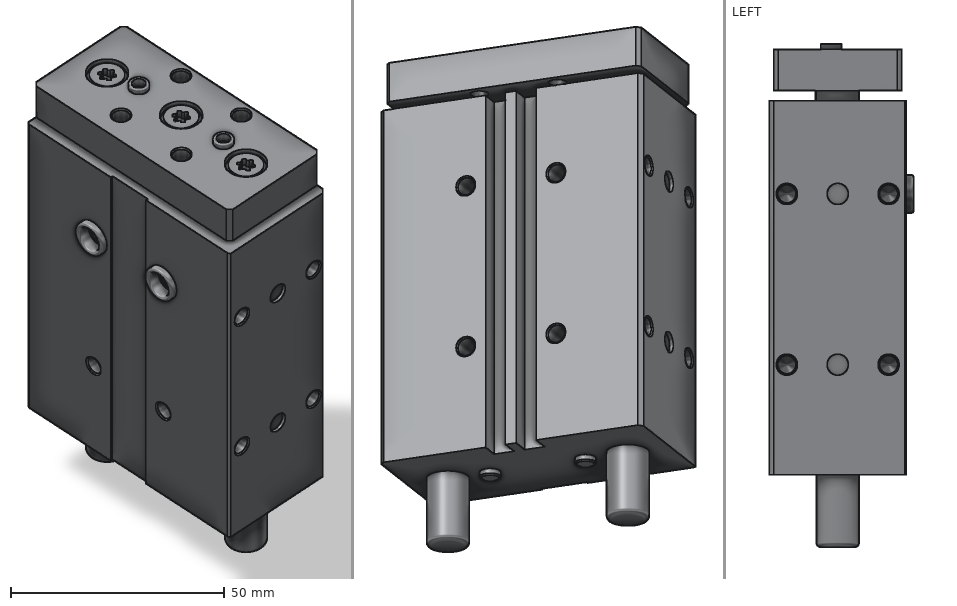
import cadquery as cq
import math


TOTAL_HEIGHT = 118.1
HOUSING_BOTTOM = 17.0
HOUSING_TOP = 104.8
YOKE_BOTTOM = 107.1
YOKE_TOP = 116.8

HOUSING_WIDTH = 67.0
HOUSING_DEPTH = 32.1
FRONT_Y = -HOUSING_DEPTH / 2
BACK_Y = HOUSING_DEPTH / 2
SIDE_X = HOUSING_WIDTH / 2
BACK_CHAMFER = 1.1
FRONT_CHAMFER_WIDTH = 0.7
FRONT_CHAMFER_DEPTH = 0.4
FRONT_GROOVE_WIDTH = 11.7
FRONT_GROOVE_DEPTH = 0.6
SENSOR_SLOT_WIDTH = 5.1
SENSOR_SLOT_DEPTH = SENSOR_SLOT_WIDTH
SENSOR_RIB_WIDTH = 2.7
STUD_SPACING = 24.3
STUD_LENGTH = 1.5
STUD_CHAMFER = 0.4

HOLE_SPACING_Z = 40.0
HOLE_TOP_Z = 82.9
HOLE_HEIGHTS = (HOLE_TOP_Z - HOLE_SPACING_Z, HOLE_TOP_Z)
FRONT_HOLE_SPACING = 23.0
FRONT_HOLE_XS = (-FRONT_HOLE_SPACING / 2, FRONT_HOLE_SPACING / 2)
SIDE_HOLE_SPACING = 23.9
SIDE_HOLE_DEPTH = 10.0
SIDE_RECESS_DEPTH = 1.0

THREAD_DIA = 4.3
LOCATING_DIA = 5.0
THREAD_CHAMFER = (LOCATING_DIA - THREAD_DIA) / 2
DRILL_POINT_ANGLE = 118.0

SLEEVE_DIA = 9.0
SLEEVE_BORE = 6.4
SLEEVE_PROTRUSION = 1.8
SLEEVE_RECESS = 1.5

GUIDE_SPACING = 45.9
GUIDE_DIA = 10.0
GUIDE_TIP_ROUND = 1.2
PISTON_ROD_DIA = 7.5
PISTON_Y = 1.5
PISTON_ROD_ENGAGEMENT = 23.6

SHANK_DIA = 5.0
HEAD_DIA = 9.6
HEAD_CHAMFER = 0.6
HEAD_HEIGHT = 5.0
HEAD_RECESS = 0.5
SOCKET_TIP_DIA = 4.4
SOCKET_CORE_DIA = 3.2
SOCKET_LOBE_DIA = 1.1
SOCKET_DEPTH = 2.0
SOCKET_LOBES = 6

YOKE_WIDTH = 65.0
YOKE_DEPTH = 30.1
YOKE_CHAMFER = 1.1
HEAD_BORE_DIA = 10.0
HEAD_BORE_DEPTH = HEAD_RECESS + HEAD_HEIGHT
YOKE_HOLE_SPACING = 20.0

PIN_SLEEVE_SPACING = 28.0
PIN_SLEEVE_BORE = 3.3
PIN_SLEEVE_RECESS = 1.0
PIN_SLEEVE_ROUND = 0.2
PIN_HOLE_DIA = PIN_SLEEVE_BORE
PIN_HOLE_DEPTH = 1.8

ROD_PLACES = [(-GUIDE_SPACING / 2, 0), (0, PISTON_Y), (GUIDE_SPACING / 2, 0)]
GUIDE_PLACES = [ROD_PLACES[0], ROD_PLACES[2]]
PIN_SLEEVE_PLACES = [(-PIN_SLEEVE_SPACING / 2, PISTON_Y), (PIN_SLEEVE_SPACING / 2, PISTON_Y)]

DOWN = cq.Vector(0, 0, -1)
INTO_FRONT = cq.Vector(0, 1, 0)
INTO_BACK = cq.Vector(0, -1, 0)


def cylinder(dia, length, start, direction):
    """Solid cylinder that runs from a start point along a direction."""
    return cq.Workplane(cq.Solid.makeCylinder(dia / 2, length, cq.Vector(*start), direction))


def cone(dia_start, dia_end, length, start, direction):
    """Solid cone or cone frustum that runs from a start point along a direction."""
    return cq.Workplane(cq.Solid.makeCone(dia_start / 2, dia_end / 2, length, cq.Vector(*start), direction))


def blind_drill(dia, depth, start, direction):
    """Cutter for a blind hole with a conical drill point."""
    point_length = dia / 2 / math.tan(math.radians(DRILL_POINT_ANGLE / 2))
    floor = (cq.Vector(*start) + direction * depth).toTuple()
    return cylinder(dia, depth, start, direction).union(cone(dia, 0, point_length, floor, direction))


def thread_countersink(start, direction):
    """Cutter for the 45 degree chamfer at the mouth of a threaded hole."""
    return cone(LOCATING_DIA, THREAD_DIA, THREAD_CHAMFER, start, direction)


def front_chamfers(height):
    """Cutter for the two long front edges, whose chamfers are wider than deep."""
    wedge = (
        cq.Workplane("XY", origin=(0, 0, HOUSING_BOTTOM))
        .moveTo(SIDE_X, FRONT_Y)
        .lineTo(SIDE_X, FRONT_Y + FRONT_CHAMFER_DEPTH)
        .lineTo(SIDE_X - FRONT_CHAMFER_WIDTH, FRONT_Y)
        .close()
        .extrude(height)
    )
    return wedge.union(wedge.mirror("YZ"))


def housing_profile():
    """Extruded housing with its front groove, back sensor slots and chamfered long edges."""
    height = HOUSING_TOP - HOUSING_BOTTOM
    body = (
        cq.Workplane("XY", origin=(0, 0, HOUSING_BOTTOM))
        .rect(HOUSING_WIDTH, HOUSING_DEPTH)
        .extrude(height)
    )
    body = body.edges("|Z and >Y").chamfer(BACK_CHAMFER)
    body = body.cut(front_chamfers(height))
    groove = (
        cq.Workplane("XY", origin=(0, FRONT_Y, HOUSING_BOTTOM))
        .rect(FRONT_GROOVE_WIDTH, 2 * FRONT_GROOVE_DEPTH)
        .extrude(height)
    )
    slots = (
        cq.Workplane("XY", origin=(0, BACK_Y, HOUSING_BOTTOM))
        .pushPoints([(side * (SENSOR_RIB_WIDTH + SENSOR_SLOT_WIDTH) / 2, 0) for side in (-1, 1)])
        .rect(SENSOR_SLOT_WIDTH, 2 * SENSOR_SLOT_DEPTH)
        .extrude(height)
    )
    return body.cut(groove).cut(slots)


def drill_front(body):
    """Four through holes from front to back; the upper two hold the front sleeves."""
    for x in FRONT_HOLE_XS:
        for z in HOLE_HEIGHTS:
            mouth_y = FRONT_Y
            if z == HOLE_TOP_Z:
                mouth_y += SLEEVE_RECESS
                body = body.cut(cylinder(SLEEVE_DIA, SLEEVE_RECESS, (x, FRONT_Y, z), INTO_FRONT))
            body = body.cut(cylinder(THREAD_DIA, HOUSING_DEPTH, (x, FRONT_Y, z), INTO_FRONT))
            body = body.cut(thread_countersink((x, mouth_y, z), INTO_FRONT))
            body = body.cut(thread_countersink((x, BACK_Y, z), INTO_BACK))
    return body


def drill_sides(body):
    """Threaded holes and shallow locating recesses, the same on both narrow sides."""
    for side in (-1, 1):
        x = side * SIDE_X
        inward = cq.Vector(-side, 0, 0)
        for z in HOLE_HEIGHTS:
            body = body.cut(cylinder(LOCATING_DIA, SIDE_RECESS_DEPTH, (x, 0, z), inward))
            for y in (-SIDE_HOLE_SPACING / 2, SIDE_HOLE_SPACING / 2):
                body = body.cut(blind_drill(THREAD_DIA, SIDE_HOLE_DEPTH, (x, y, z), inward))
                body = body.cut(thread_countersink((x, y, z), inward))
    return body


def make_housing():
    """Drilled housing with the rod bores and two short studs under it."""
    body = drill_sides(drill_front(housing_profile()))
    for x, y in GUIDE_PLACES:
        body = body.cut(cylinder(GUIDE_DIA, HOUSING_TOP, (x, y, HOUSING_TOP), DOWN))
    body = body.cut(cylinder(PISTON_ROD_DIA, PISTON_ROD_ENGAGEMENT, (0, PISTON_Y, HOUSING_TOP), DOWN))
    for x in (-STUD_SPACING / 2, STUD_SPACING / 2):
        stud = cylinder(LOCATING_DIA, STUD_LENGTH, (x, 0, HOUSING_BOTTOM), DOWN)
        body = body.union(stud.faces("<Z").chamfer(STUD_CHAMFER))
    return body


def make_yoke():
    """Plate with counterbored screw holes, threaded holes and seats for two sleeves."""
    thickness = YOKE_TOP - YOKE_BOTTOM
    plate = (
        cq.Workplane("XY", origin=(0, 0, YOKE_BOTTOM))
        .rect(YOKE_WIDTH, YOKE_DEPTH)
        .extrude(thickness)
        .edges("|Z")
        .chamfer(YOKE_CHAMFER)
    )
    for x, y in ROD_PLACES:
        plate = plate.cut(cylinder(SHANK_DIA, thickness, (x, y, YOKE_TOP), DOWN))
        plate = plate.cut(cylinder(HEAD_BORE_DIA, HEAD_BORE_DEPTH, (x, y, YOKE_TOP), DOWN))
    for x in (-YOKE_HOLE_SPACING / 2, YOKE_HOLE_SPACING / 2):
        for y in (PISTON_Y - YOKE_HOLE_SPACING / 2, PISTON_Y + YOKE_HOLE_SPACING / 2):
            plate = plate.cut(cylinder(THREAD_DIA, thickness, (x, y, YOKE_TOP), DOWN))
            plate = plate.cut(thread_countersink((x, y, YOKE_TOP), DOWN))
    for x, y in PIN_SLEEVE_PLACES:
        plate = plate.cut(cylinder(LOCATING_DIA, PIN_SLEEVE_RECESS, (x, y, YOKE_TOP), DOWN))
        plate = plate.cut(blind_drill(PIN_HOLE_DIA, PIN_HOLE_DEPTH, (x, y, YOKE_TOP), DOWN))
    return plate


def screw_socket(x, y, z):
    """Cutter for a six-lobed drive socket that opens upward at height z."""
    lobe_circle = (SOCKET_TIP_DIA - SOCKET_LOBE_DIA) / 2
    socket = cylinder(SOCKET_CORE_DIA, SOCKET_DEPTH, (x, y, z), DOWN)
    for lobe in range(SOCKET_LOBES):
        angle = math.radians(90 + lobe * 360 / SOCKET_LOBES)
        lobe_place = (x + lobe_circle * math.cos(angle), y + lobe_circle * math.sin(angle), z)
        socket = socket.union(cylinder(SOCKET_LOBE_DIA, SOCKET_DEPTH, lobe_place, DOWN))
    return socket


def add_screw_end(rod, x, y):
    """Adds the shank through the yoke and the screw head in its counterbore."""
    head_top = YOKE_TOP - HEAD_RECESS
    shank = cylinder(SHANK_DIA, head_top - YOKE_BOTTOM, (x, y, head_top), DOWN)
    head = cylinder(HEAD_DIA, HEAD_HEIGHT, (x, y, head_top), DOWN)
    head = head.faces(">Z").edges().chamfer(HEAD_CHAMFER)
    return rod.union(shank).union(head).cut(screw_socket(x, y, head_top))


def make_guide_rod(x, y):
    """Guide rod with a rounded lower tip and a screw end."""
    rod = cylinder(GUIDE_DIA, YOKE_BOTTOM, (x, y, YOKE_BOTTOM), DOWN)
    rod = rod.faces("<Z").edges().fillet(GUIDE_TIP_ROUND)
    return add_screw_end(rod, x, y)


def make_piston_rod():
    """Piston rod that enters the housing from above, with a screw end."""
    length = YOKE_BOTTOM - HOUSING_TOP + PISTON_ROD_ENGAGEMENT
    rod = cylinder(PISTON_ROD_DIA, length, (0, PISTON_Y, YOKE_BOTTOM), DOWN)
    return add_screw_end(rod, 0, PISTON_Y)


def make_front_sleeve(x):
    """Ring with a fully rounded front lip, revolved about its axis along Y."""
    inner = SLEEVE_BORE / 2
    outer = SLEEVE_DIA / 2
    lip_radius = (outer - inner) / 2
    front = -SLEEVE_PROTRUSION
    return (
        cq.Workplane("XY", origin=(x, FRONT_Y, HOLE_TOP_Z))
        .moveTo(inner, SLEEVE_RECESS)
        .lineTo(outer, SLEEVE_RECESS)
        .lineTo(outer, front + lip_radius)
        .threePointArc(((inner + outer) / 2, front), (inner, front + lip_radius))
        .close()
        .revolve(360, (0, 0), (0, 1))
    )


def make_yoke_sleeve(x, y):
    """Thin ring that stands out of the top of the yoke."""
    length = TOTAL_HEIGHT - YOKE_TOP + PIN_SLEEVE_RECESS
    start = (x, y, TOTAL_HEIGHT)
    sleeve = cylinder(LOCATING_DIA, length, start, DOWN).faces(">Z").edges().fillet(PIN_SLEEVE_ROUND)
    return sleeve.cut(cylinder(PIN_SLEEVE_BORE, length, start, DOWN))


housing = make_housing()
yoke = make_yoke()
piston_rod = make_piston_rod()
guide_rods = [make_guide_rod(x, y) for x, y in GUIDE_PLACES]
front_sleeves = [make_front_sleeve(x) for x in FRONT_HOLE_XS]
yoke_sleeves = [make_yoke_sleeve(x, y) for x, y in PIN_SLEEVE_PLACES]

bodies = [housing, yoke, piston_rod, *guide_rods, *front_sleeves, *yoke_sleeves]
result = cq.Compound.makeCompound([body.val() for body in bodies])